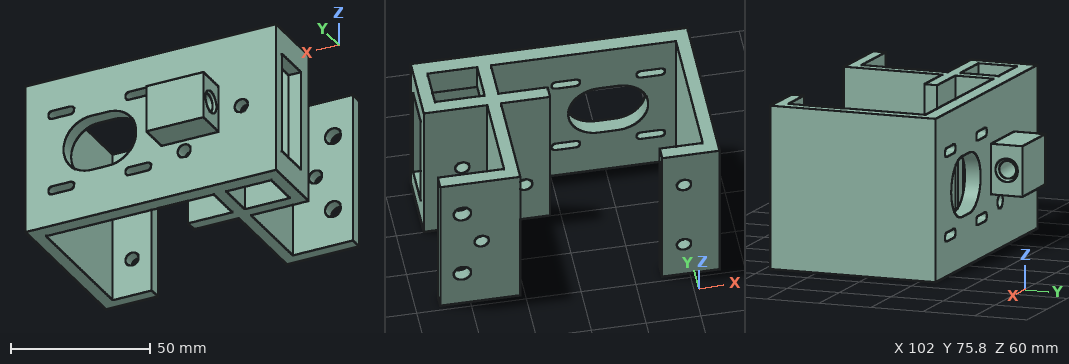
import cadquery as cq

width = 102.0
height = 60.0
total_depth = 75.8
frame_depth = 63.8
mid_z = height / 2

wall = 5.0
right_wall = 5.3
back_wall = 6.0
back_inner_y = frame_depth - back_wall
box_left_x = 1.0
box_front_y = 38.0
web_left_x = 24.2
web_right_x = web_left_x + wall
tab_right_x = 47.1
right_flange_x = 81.0

window_front_y = 44.1
window_depth = 14.9
window_height = 40.0

lug_bottom_z = 21.5
lug_height = 18.6
lug_hole_diameter = 6.5
lug_chamfer = 1.0

hole_diameter = 5.2
large_hole_diameter = 6.3
hole_half_spacing = 15.0
left_hole_x = 8.1
box_hole_x = 15.1
right_hole_x = 88.9
tab_hole_x = 38.0
tab_hole_z = 17.2

opening_x = 72.0
opening_length = 29.2
opening_height = 22.2
slot_length = 10.4
slot_height = 3.3
slot_half_spacing_x = 15.5
slot_half_spacing_z = 15.5


def block(x_start, x_end, y_start, y_end, z_start=0, z_end=height):
    """Box between the given limits."""
    size = (x_end - x_start, y_end - y_start, z_end - z_start)
    return cq.Workplane("XY").box(*size, centered=False).translate((x_start, y_start, z_start))


def drill(points, diameter, y_start, y_end):
    """Cylinders along Y at the given (x, z) points."""
    plane = cq.Workplane("XZ", origin=(0, y_start, 0))
    return plane.pushPoints(points).circle(diameter / 2).extrude(y_start - y_end)


def back_slots(points, length, slot_width):
    """Rounded slots along X, cut through the back wall."""
    plane = cq.Workplane("XZ", origin=(0, back_inner_y, 0))
    return plane.pushPoints(points).slot2D(length, slot_width).extrude(-back_wall)


def make_frame():
    """Plates of the frame, all of full height."""
    body = block(box_left_x, width, back_inner_y, frame_depth)
    plates = [
        block(width - right_wall, width, 0, frame_depth),
        block(right_flange_x, width, 0, wall),
        block(web_left_x, web_right_x, 0, frame_depth),
        block(0, web_right_x, 0, wall),
        block(box_left_x, tab_right_x, box_front_y, box_front_y + wall),
        block(box_left_x, box_left_x + wall, box_front_y, frame_depth),
    ]
    for plate in plates:
        body = body.union(plate)
    return body


def make_lug():
    """Rear lug with a cross hole chamfered at both ends."""
    lug = block(web_left_x, tab_right_x, frame_depth, total_depth, lug_bottom_z, lug_bottom_z + lug_height)
    lug = lug.faces("<X").workplane(centerOption="CenterOfMass").hole(lug_hole_diameter)
    return lug.faces("<X or >X").edges("%CIRCLE").chamfer(lug_chamfer)


hole_levels = [mid_z - hole_half_spacing, mid_z + hole_half_spacing]
slot_centers = [
    (opening_x + side * slot_half_spacing_x, mid_z + level * slot_half_spacing_z)
    for side in (-1, 1)
    for level in (-1, 1)
]

window = block(
    box_left_x,
    web_right_x,
    window_front_y,
    window_front_y + window_depth,
    mid_z - window_height / 2,
    mid_z + window_height / 2,
)

cutters = [
    window,
    drill([(left_hole_x, z) for z in hole_levels], large_hole_diameter, 0, wall),
    drill([(right_hole_x, z) for z in hole_levels], hole_diameter, 0, wall),
    drill([(box_hole_x, mid_z)], hole_diameter, 0, frame_depth),
    drill([(tab_hole_x, tab_hole_z)], hole_diameter, box_front_y, frame_depth),
    back_slots([(opening_x, mid_z)], opening_length, opening_height),
    back_slots(slot_centers, slot_length, slot_height),
]

result = make_frame()
for cutter in cutters:
    result = result.cut(cutter)
result = result.union(make_lug())